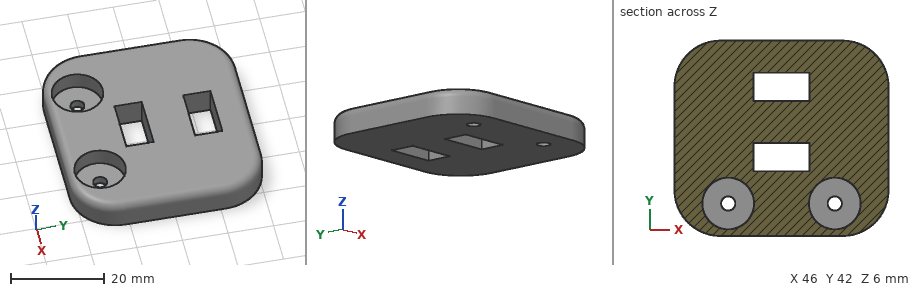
import cadquery as cq

length = 46.0
width = 42.0
thickness = 6.0
corner_radius = 10.0
top_edge_radius = 2.0

window_length = 12.0
window_width = 6.0
window_spacing = 15.1
upper_window_y = 11.05
window_centers = [(0, upper_window_y), (0, upper_window_y - window_spacing)]

screw_spacing = 22.85
screw_y = -14.0
screw_hole_diameter = 3.0
counterbore_diameter = 11.05
counterbore_depth = 4.0
screw_centers = [(side * screw_spacing / 2, screw_y) for side in (-1, 1)]


def make_plate():
    plate = cq.Workplane("XY").rect(length, width).extrude(thickness)
    plate = plate.edges("|Z").fillet(corner_radius)
    return plate.faces(">Z").edges().fillet(top_edge_radius)


def make_windows():
    outlines = cq.Workplane("XY").pushPoints(window_centers).rect(window_length, window_width)
    return outlines.extrude(thickness)


def make_screw_holes():
    holes = cq.Workplane("XY").pushPoints(screw_centers).circle(screw_hole_diameter / 2).extrude(thickness)
    counterbore_floor = thickness - counterbore_depth
    counterbores = (
        cq.Workplane("XY", origin=(0, 0, counterbore_floor))
        .pushPoints(screw_centers)
        .circle(counterbore_diameter / 2)
        .extrude(counterbore_depth)
    )
    return holes.union(counterbores)


result = make_plate().cut(make_windows()).cut(make_screw_holes())